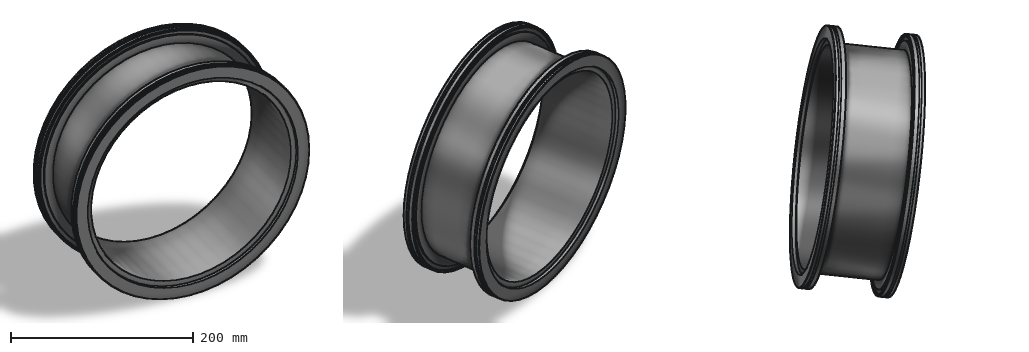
import cadquery as cq

length = 100.0
outer_diameter = 290.0
tube_diameter = 254.0
bore_diameter = 248.0

flange_width = 12.2
rim_chamfer = 0.5

rim_groove_diameter = 288.3
rim_groove_width = 2.5
rim_groove_offset = 4.0

face_groove_outer_diameter = 285.0
face_groove_inner_diameter = 275.0
face_groove_depth = 2.0

counterbore_diameter = 261.0
counterbore_depth = 4.0


def disc(diameter, start, width):
    """Solid disc along X, beginning at the given X position."""
    return cq.Workplane("YZ", origin=(start, 0, 0)).circle(diameter / 2).extrude(width)


def ring(outside, inside, start, width):
    """Flat ring along X with the given outside and inside diameters."""
    return disc(outside, start, width).cut(disc(inside, start, width))


def flange():
    """Flange at the -X end, with chamfered rim, rim groove and inward face groove."""
    end_face = -length / 2
    body = disc(outer_diameter, end_face, flange_width).edges().chamfer(rim_chamfer)
    rim_groove = ring(
        outer_diameter, rim_groove_diameter, end_face + rim_groove_offset, rim_groove_width
    )
    face_groove = ring(
        face_groove_outer_diameter,
        face_groove_inner_diameter,
        end_face + flange_width - face_groove_depth,
        face_groove_depth,
    )
    return body.cut(rim_groove).cut(face_groove)


left_flange = flange()
counterbore = disc(counterbore_diameter, -length / 2, counterbore_depth)

result = (
    disc(tube_diameter, -length / 2, length)
    .union(left_flange)
    .union(left_flange.mirror("YZ"))
    .cut(disc(bore_diameter, -length / 2, length))
    .cut(counterbore)
    .cut(counterbore.mirror("YZ"))
)